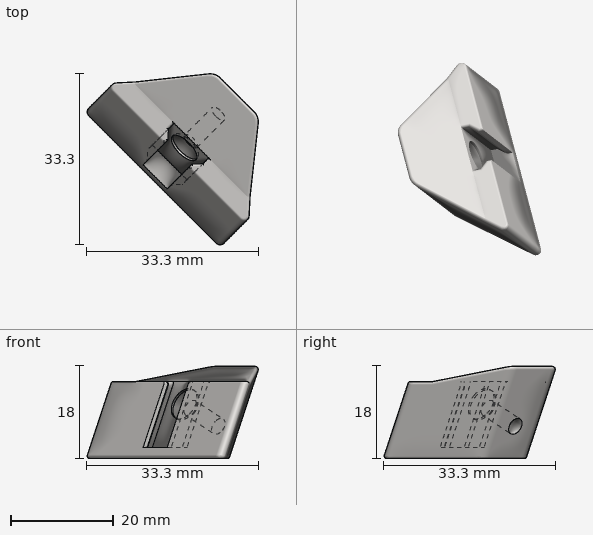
import cadquery as cq
import math

turn_angle = -45.0

lean_angle = 25.0
slope_angle = 14.1
shelf_height = 15.0
shelf_depth = 4.0
body_depth = 14.02

front_width = 40.0
front_corner_radius = 1.0
back_corner_radius = 3.0
edge_radius = 0.5

sill_height = 2.15
mouth_width = 6.63
chamber_width = 9.53
lip_depth = 1.0

hole_diameter = 3.4
head_diameter = 6.5
head_depth = 0.5
countersink_angle = 90.0
head_below_shelf = 4.75

front_half_width = front_width / 2
lean = math.radians(lean_angle)
slot_depth = shelf_depth * math.cos(lean)
lean_direction = cq.Vector(0, math.sin(lean), math.cos(lean))
depth_direction = cq.Vector(0, math.cos(lean), -math.sin(lean))
reach = 3 * shelf_height


def shift(height):
    """Backward shift of the leaning faces at a height."""
    return height * math.tan(lean)


def leaning_prism(points):
    """Prism along the leaning direction, reaching past both ends of the part."""
    plane = cq.Plane(origin=(0, 0, 0), xDir=(1, 0, 0), normal=lean_direction)
    return cq.Workplane(plane).polyline(points).close().extrude(reach, both=True)


def make_side_profile():
    """Block with the side profile, as wide as the sharp front corners."""
    shelf_front = shift(shelf_height)
    shelf_back = shelf_front + shelf_depth
    back_bottom = body_depth / math.cos(lean)
    slope = math.tan(math.radians(slope_angle))
    back_height = (shelf_height + (back_bottom - shelf_back) * slope) / (1 - math.tan(lean) * slope)
    return (
        cq.Workplane("YZ")
        .polyline([
            (0, 0),
            (shelf_front, shelf_height),
            (shelf_back, shelf_height),
            (back_bottom + shift(back_height), back_height),
            (back_bottom, 0),
        ])
        .close()
        .extrude(front_half_width, both=True)
    )


def make_outline():
    """Leaning prism with 45 degree flanks and rounded corners."""
    back_half_width = front_half_width - body_depth
    prism = leaning_prism([
        (-front_half_width, 0),
        (front_half_width, 0),
        (back_half_width, body_depth),
        (-back_half_width, body_depth),
    ])
    leaning_edges = cq.selectors.ParallelDirSelector(lean_direction)
    front_edges = cq.selectors.DirectionMinMaxSelector(depth_direction, False)
    back_edges = cq.selectors.DirectionMinMaxSelector(depth_direction, True)
    prism = prism.edges(leaning_edges).edges(front_edges).fillet(front_corner_radius)
    return prism.edges(leaning_edges).edges(back_edges).fillet(back_corner_radius)


def round_outer_edges(block):
    """Round the whole rim of the top and of the bottom."""
    leaning_edges = cq.selectors.ParallelDirSelector(lean_direction)
    shelf_back = shift(shelf_height) + shelf_depth
    fold = cq.selectors.NearestToPointSelector((0, shelf_back, shelf_height))
    rim = cq.selectors.SubtractSelector(cq.selectors.InverseSelector(leaning_edges), fold)
    return block.edges(rim).fillet(edge_radius)


def make_slot():
    """Slot with a narrow mouth and a wide chamber, flaring out at the shelf where its rim is rounded."""
    in_front = -edge_radius
    mouth = mouth_width / 2
    chamber = chamber_width / 2
    right = [
        (mouth, in_front),
        (mouth, lip_depth),
        (chamber, lip_depth + chamber - mouth),
        (chamber, slot_depth),
    ]
    left = [(-across, deep) for across, deep in reversed(right)]
    side = chamber + 2 * edge_radius
    surround = [(-side, in_front), (side, in_front), (side, slot_depth), (-side, slot_depth)]

    layer = cq.Workplane("XY").workplane(offset=sill_height).rect(reach, reach)
    layer = layer.extrude(shelf_height - sill_height)
    envelope = leaning_prism(surround).intersect(layer)
    walls = envelope.cut(leaning_prism(right + left))
    inside = chamber + edge_radius
    rim = cq.selectors.BoxSelector(
        (-inside, shift(shelf_height), shelf_height - edge_radius),
        (inside, shift(shelf_height) + shelf_depth - edge_radius, shelf_height + edge_radius),
    )
    return envelope.cut(walls.edges(rim).fillet(edge_radius))


def make_screw_hole():
    """Head recess, countersink and through hole, turned about the axis square to the slot floor."""
    center = cq.Vector(0, shift(shelf_height) + shelf_depth, shelf_height) - lean_direction * head_below_shelf
    plane = cq.Plane(origin=center, xDir=(1, 0, 0), normal=lean_direction)
    head = head_diameter / 2
    hole = hole_diameter / 2
    cone_depth = (head - hole) / math.tan(math.radians(countersink_angle / 2))
    return (
        cq.Workplane(plane)
        .polyline([
            (0, 0),
            (head, 0),
            (head, head_depth),
            (hole, head_depth + cone_depth),
            (hole, body_depth),
            (0, body_depth),
        ])
        .close()
        .revolve(360, (0, 0, 0), (0, 1, 0))
    )


block = make_side_profile().intersect(make_outline())
body = round_outer_edges(block).cut(make_slot()).cut(make_screw_hole())
result = body.solids().rotate((0, 0, 0), (0, 0, 1), turn_angle)